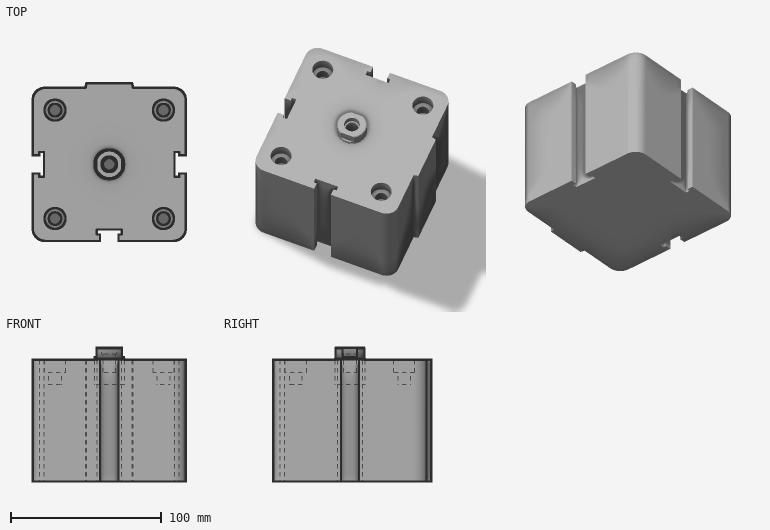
import cadquery as cq

TOTAL_DEPTH = 105.0
TOTAL_HEIGHT = 89.0

SIDE = 102.0
HEIGHT = 81.0
CORNER_RADIUS = 8.5
CAP_THICKNESS = 16.6

PAD_HEIGHT = TOTAL_DEPTH - SIDE
PAD_TOP_WIDTH = 30.5
PAD_BASE_WIDTH = 31.7

SLOT_MOUTH_WIDTH = 12.0
SLOT_INNER_WIDTH = 16.4
SLOT_DEPTH = 7.6
SLOT_LIP = 4.5

HOLE_SPACING = 72.0
HOLE_DIAMETER = 8.4
HOLE_DEPTH = CAP_THICKNESS
COUNTERBORE_DIAMETER = 14.0
COUNTERBORE_DEPTH = 8.5

ROD_LENGTH_OUT = TOTAL_HEIGHT - HEIGHT
ROD_DEPTH_IN = CAP_THICKNESS
ROD_DIAMETER = 20.0
ROD_HEAD_DIAMETER = 19.5
SHAFT_HEIGHT = 0.4
HEAD_START = 0.8
ROD_CHAMFER = 0.5

FLAT_WIDTH = 17.0
FLAT_START = 1.8

THREAD_DIAMETER = 8.4
THREAD_HOLE_DEPTH = CAP_THICKNESS
THREAD_RECESS_DIAMETER = 10.4
THREAD_RECESS_DEPTH = 4.3


def make_pad():
    """Trapezoidal pad along the full height of the +Y side."""
    face_y = SIDE / 2
    return (
        cq.Workplane("XY")
        .polyline([
            (-PAD_BASE_WIDTH / 2, 0),
            (PAD_BASE_WIDTH / 2, 0),
            (PAD_BASE_WIDTH / 2, face_y),
            (PAD_TOP_WIDTH / 2, face_y + PAD_HEIGHT),
            (-PAD_TOP_WIDTH / 2, face_y + PAD_HEIGHT),
            (-PAD_BASE_WIDTH / 2, face_y),
        ])
        .close()
        .extrude(HEIGHT)
    )


def make_t_slot(angle):
    """T-slot cutter for the -Y side, turned about Z to the wanted side."""
    face_y = -SIDE / 2
    mouth = (
        cq.Workplane("XY", origin=(0, face_y, 0))
        .rect(SLOT_MOUTH_WIDTH, 2 * SLOT_DEPTH)
        .extrude(HEIGHT)
    )
    inner_depth = SLOT_DEPTH - SLOT_LIP
    inner = (
        cq.Workplane("XY", origin=(0, face_y + SLOT_LIP + inner_depth / 2, 0))
        .rect(SLOT_INNER_WIDTH, inner_depth)
        .extrude(HEIGHT)
    )
    return mouth.union(inner).rotate((0, 0, 0), (0, 0, 1), angle)


def make_housing():
    block = cq.Workplane("XY").rect(SIDE, SIDE).extrude(HEIGHT)
    block = block.edges("|Z").fillet(CORNER_RADIUS)
    block = block.union(make_pad())

    for angle in (0, 90, -90):
        block = block.cut(make_t_slot(angle))

    block = (
        block.faces(">Z")
        .workplane(origin=(0, 0, HEIGHT))
        .rect(HOLE_SPACING, HOLE_SPACING, forConstruction=True)
        .vertices()
        .cboreHole(HOLE_DIAMETER, COUNTERBORE_DIAMETER, COUNTERBORE_DEPTH, HOLE_DEPTH)
    )

    bore = (
        cq.Workplane("XY", origin=(0, 0, HEIGHT - ROD_DEPTH_IN))
        .circle(ROD_DIAMETER / 2)
        .extrude(ROD_DEPTH_IN)
    )
    return block.cut(bore)


def make_rod():
    """Rod with a slightly thinner head, two wrench flats and a recessed thread hole."""
    rod = (
        cq.Workplane("XZ")
        .polyline([
            (0, HEIGHT - ROD_DEPTH_IN),
            (ROD_DIAMETER / 2, HEIGHT - ROD_DEPTH_IN),
            (ROD_DIAMETER / 2, HEIGHT + SHAFT_HEIGHT),
            (ROD_HEAD_DIAMETER / 2, HEIGHT + HEAD_START),
            (ROD_HEAD_DIAMETER / 2, TOTAL_HEIGHT),
            (0, TOTAL_HEIGHT),
        ])
        .close()
        .revolve(360, (0, 0, 0), (0, 1, 0))
        .faces(">Z")
        .chamfer(ROD_CHAMFER)
    )

    flat_cutter = (
        cq.Workplane("XY", origin=(0, 0, HEIGHT + FLAT_START))
        .rect(2 * ROD_DIAMETER, 2 * ROD_DIAMETER)
        .rect(FLAT_WIDTH, 2 * ROD_DIAMETER)
        .extrude(ROD_LENGTH_OUT - FLAT_START)
    )
    rod = rod.cut(flat_cutter)

    return (
        rod.faces(">Z")
        .workplane(origin=(0, 0, TOTAL_HEIGHT))
        .cboreHole(THREAD_DIAMETER, THREAD_RECESS_DIAMETER, THREAD_RECESS_DEPTH, THREAD_HOLE_DEPTH)
    )


housing = make_housing()
rod = make_rod()

result = cq.Compound.makeCompound([housing.val(), rod.val()])